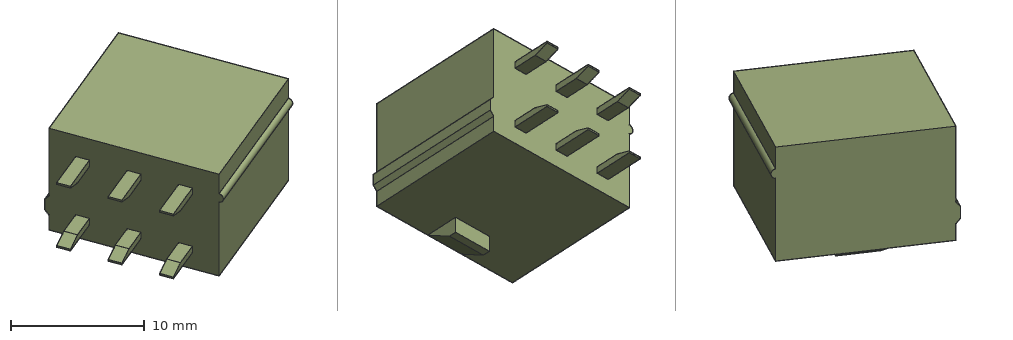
import cadquery as cq

OVERALL_WIDTH = 14.6
OVERALL_LENGTH = 16.3
OVERALL_HEIGHT = 11.0

HOUSING_WIDTH = 13.9
HOUSING_HEIGHT = 9.6
PIN_LENGTH = 3.5
HOUSING_LENGTH = OVERALL_LENGTH - PIN_LENGTH
HALF_WIDTH = HOUSING_WIDTH / 2
RIB_PROTRUSION = (OVERALL_WIDTH - HOUSING_WIDTH) / 2

KEY_RIB_BOTTOM = 1.4
KEY_RIB_BASE_HEIGHT = 1.81
KEY_RIB_BEVEL = 0.4

ROUND_RIB_RADIUS = 0.4
ROUND_RIB_Z = 7.37

HOOK_WIDTH = 3.45
HOOK_LENGTH = 3.05
HOOK_FLAT = 0.67
HOOK_DEPTH = OVERALL_HEIGHT - HOUSING_HEIGHT

PIN_WIDTH = 1.12
PIN_THICKNESS = 0.6
PIN_TIP_THICKNESS = 0.16
PIN_TAPER_LENGTH = 1.3
PIN_COLUMNS = 3
PIN_PITCH = 4.2
ROW_PITCH = 5.5
LOWER_ROW_Z = 1.83
UPPER_ROW_Z = LOWER_ROW_Z + ROW_PITCH

OVERLAP = 0.16


def housing():
    return cq.Workplane("XY").box(
        HOUSING_WIDTH, HOUSING_LENGTH, HOUSING_HEIGHT, centered=(True, False, False)
    )


def key_rib():
    inner_x = -HALF_WIDTH + OVERLAP
    outer_x = -HALF_WIDTH - RIB_PROTRUSION
    top = KEY_RIB_BOTTOM + KEY_RIB_BASE_HEIGHT
    outline = [
        (inner_x, KEY_RIB_BOTTOM),
        (-HALF_WIDTH, KEY_RIB_BOTTOM),
        (outer_x, KEY_RIB_BOTTOM + KEY_RIB_BEVEL),
        (outer_x, top - KEY_RIB_BEVEL),
        (-HALF_WIDTH, top),
        (inner_x, top),
    ]
    return cq.Workplane("XZ").polyline(outline).close().extrude(-HOUSING_LENGTH)


def round_rib():
    center_x = HALF_WIDTH + RIB_PROTRUSION - ROUND_RIB_RADIUS
    return (
        cq.Workplane("XZ")
        .center(center_x, ROUND_RIB_Z)
        .circle(ROUND_RIB_RADIUS)
        .extrude(-HOUSING_LENGTH)
    )


def latch_hook():
    front_y = HOUSING_LENGTH - HOOK_LENGTH
    outline = [
        (front_y, OVERLAP),
        (front_y, -HOOK_DEPTH),
        (front_y + HOOK_FLAT, -HOOK_DEPTH),
        (HOUSING_LENGTH, 0),
        (HOUSING_LENGTH, OVERLAP),
    ]
    return cq.Workplane("YZ").polyline(outline).close().extrude(HOOK_WIDTH / 2, both=True)


def pin(x, z, bevel_side):
    """One pin centred on (x, z); bevel_side is +1 for a bevel on top, -1 for one underneath."""
    bevel_z = z + bevel_side * PIN_THICKNESS / 2
    flat_z = z - bevel_side * PIN_THICKNESS / 2
    outline = [
        (OVERLAP, flat_z),
        (-PIN_LENGTH, flat_z),
        (-PIN_LENGTH, flat_z + bevel_side * PIN_TIP_THICKNESS),
        (-PIN_LENGTH + PIN_TAPER_LENGTH, bevel_z),
        (OVERLAP, bevel_z),
    ]
    profile = cq.Workplane("YZ", origin=(x, 0, 0)).polyline(outline).close()
    return profile.extrude(PIN_WIDTH / 2, both=True)


result = housing().union(key_rib()).union(round_rib()).union(latch_hook())

for column in range(PIN_COLUMNS):
    pin_x = (column - (PIN_COLUMNS - 1) / 2) * PIN_PITCH
    result = result.union(pin(pin_x, LOWER_ROW_Z, 1))
    result = result.union(pin(pin_x, UPPER_ROW_Z, -1))